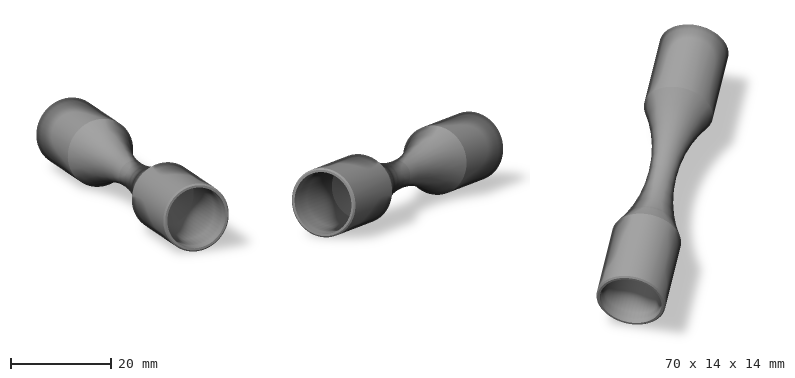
import cadquery as cq
import math

length = 70.0
outer_diameter = 14.0
neck_diameter = 5.6
sleeve_length = 17.5
bore_diameter = 12.5
bore_depth = sleeve_length
bore_tip_angle = 118.0
end_chamfer = 0.3

half_length = length / 2
outer_radius = outer_diameter / 2
neck_radius = neck_diameter / 2
bore_radius = bore_diameter / 2
waist_half_length = half_length - sleeve_length
tip_depth = bore_radius / math.tan(math.radians(bore_tip_angle / 2))

waist_rise = outer_radius - neck_radius
waist_arc_radius = (waist_half_length**2 + waist_rise**2) / (2 * waist_rise)


def waist_radius_at(x):
    """Outer radius of the waist at distance x from the middle."""
    return neck_radius + waist_arc_radius - math.sqrt(waist_arc_radius**2 - x**2)


def half_body():
    """The +X half of the solid body: half of the waist and one chamfered sleeve."""
    arc_middle_x = waist_half_length / 2
    profile = (
        cq.Workplane("XZ")
        .lineTo(0, neck_radius)
        .threePointArc(
            (arc_middle_x, waist_radius_at(arc_middle_x)),
            (waist_half_length, outer_radius),
        )
        .lineTo(half_length - end_chamfer, outer_radius)
        .lineTo(half_length, outer_radius - end_chamfer)
        .lineTo(half_length, 0)
        .close()
    )
    return profile.revolve(360, (0, 0, 0), (1, 0, 0))


def end_bore():
    """Cutter for the blind bore in the +X end, with its conical bottom."""
    bore_bottom_x = half_length - bore_depth
    profile = (
        cq.Workplane("XZ")
        .moveTo(half_length, 0)
        .lineTo(half_length, bore_radius)
        .lineTo(bore_bottom_x, bore_radius)
        .lineTo(bore_bottom_x - tip_depth, 0)
        .close()
    )
    return profile.revolve(360, (0, 0, 0), (1, 0, 0))


right_half = half_body().cut(end_bore())
left_half = right_half.rotate((0, 0, 0), (0, 0, 1), 180)
result = right_half.union(left_half)